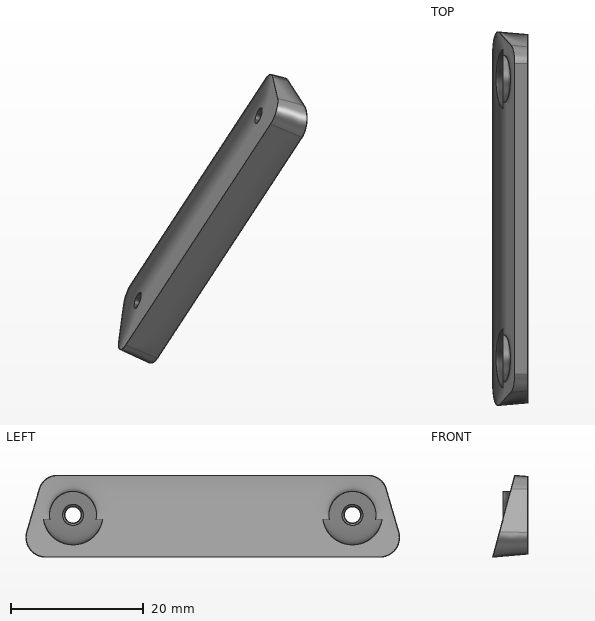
import cadquery as cq
import math

front_bottom_x = -5.3
front_top_x = -1.95
height = 12.3
draft_angle = 5.0
end_lean = 15.0
bottom_corner_half_length = 28.5
corner_radius = 2.6

seat_x = -3.75
seat_y = 21.0
seat_z = 6.35
boss_radius = 3.55
recess_radius = 4.5
hole_diameter = 2.5
hole_mouth_diameter = 3.15

draft_slope = math.tan(math.radians(draft_angle))
back_bottom_z = -front_bottom_x * draft_slope
back_top_z = height + front_top_x * draft_slope
top_corner_half_length = (
    bottom_corner_half_length - (back_top_z - back_bottom_z) * math.tan(math.radians(end_lean))
)


def drafted_block():
    """Rounded trapezoid growing from the back towards -X, deep enough for the sloping cut."""
    back_outline = (
        cq.Sketch()
        .polygon([
            (-bottom_corner_half_length, back_bottom_z),
            (bottom_corner_half_length, back_bottom_z),
            (top_corner_half_length, back_top_z),
            (-top_corner_half_length, back_top_z),
            (-bottom_corner_half_length, back_bottom_z),
        ])
        .vertices()
        .fillet(corner_radius)
    )
    return cq.Workplane("YZ").placeSketch(back_outline).extrude(front_bottom_x, taper=-draft_angle)


def wedge():
    """Side profile that keeps everything behind the sloping front face."""
    return (
        cq.Workplane("XZ")
        .polyline([
            (0, 0),
            (front_bottom_x, 0),
            (front_top_x, height),
            (0, height),
        ])
        .close()
        .extrude(2 * bottom_corner_half_length, both=True)
    )


def cylinder_along_x(radius, y, start_x, end_x):
    return (
        cq.Workplane("YZ", origin=(start_x, y, seat_z))
        .circle(radius)
        .extrude(end_x - start_x)
    )


def add_screw_seat(body, y):
    recess = cylinder_along_x(recess_radius, y, front_bottom_x, seat_x)
    boss = cylinder_along_x(boss_radius, y, seat_x, 0)
    hole = cylinder_along_x(hole_diameter / 2, y, seat_x, 0)
    body = body.cut(recess).union(boss).cut(hole)
    mouth_chamfer = (hole_mouth_diameter - hole_diameter) / 2
    mouth = cq.Solid.makeCone(
        hole_mouth_diameter / 2, hole_diameter / 2, mouth_chamfer,
        pnt=cq.Vector(seat_x, y, seat_z), dir=cq.Vector(1, 0, 0),
    )
    return body.cut(cq.Workplane(mouth))


result = drafted_block().intersect(wedge())
for side in (-1, 1):
    result = add_screw_seat(result, side * seat_y)